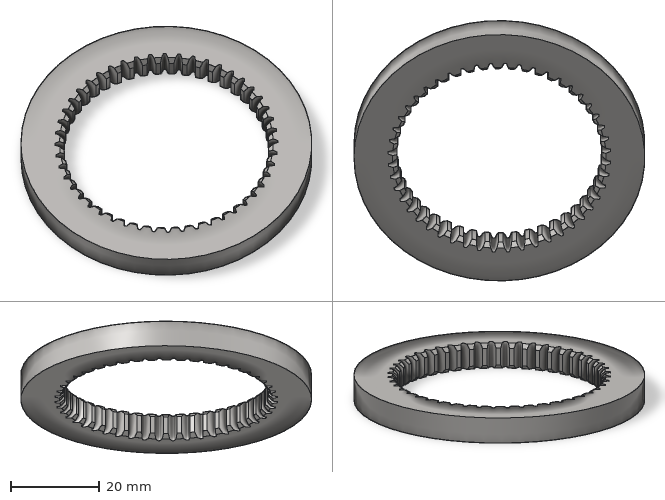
import cadquery as cq
import math


OUTER_DIAMETER = 66.0
THICKNESS = 6.0

TOOTH_COUNT = 48
PITCH_RADIUS = 24.0
PRESSURE_ANGLE = math.radians(20)
TIP_RADIUS = 23.2
ROOT_RADIUS = 25.3
ROOT_FILLET = 0.25
FLANK_POINTS = 5
CUTTER_OVERLAP = 0.3

BEVEL_RADIUS = 24.2
BEVEL_DEPTH = 1.0

BASE_RADIUS = PITCH_RADIUS * math.cos(PRESSURE_ANGLE)
CUTTER_INNER_RADIUS = TIP_RADIUS - CUTTER_OVERLAP


def involute(angle):
    return math.tan(angle) - angle


def gap_half_angle(radius):
    """Half the angle that a tooth gap spans at the given radius."""
    local_angle = math.acos(BASE_RADIUS / radius)
    at_pitch = math.pi / (2 * TOOTH_COUNT)
    return at_pitch + involute(PRESSURE_ANGLE) - involute(local_angle)


def polar_point(radius, angle):
    return (radius * math.cos(angle), radius * math.sin(angle))


def flank_points(side):
    """Points along one involute flank, from the bore outward; side is +1 or -1."""
    step = (ROOT_RADIUS - CUTTER_INNER_RADIUS) / (FLANK_POINTS - 1)
    radii = [CUTTER_INNER_RADIUS + i * step for i in range(FLANK_POINTS)]
    return [polar_point(r, side * gap_half_angle(r)) for r in radii]


def gap_cutter():
    """One tooth gap, centred on +X, with rounded root corners."""
    lower = flank_points(-1)
    upper = flank_points(1)
    return (
        cq.Workplane("XY")
        .moveTo(*lower[0])
        .spline(lower[1:], includeCurrent=True)
        .threePointArc((ROOT_RADIUS, 0), upper[-1])
        .spline(upper[-2::-1], includeCurrent=True)
        .close()
        .extrude(THICKNESS)
        .edges("|Z")
        .edges(">X")
        .fillet(ROOT_FILLET)
    )


def bevel_cutter():
    """Cone frustum that bevels the tooth ends at the lower face, Z = 0."""
    slope = (BEVEL_RADIUS - TIP_RADIUS) / BEVEL_DEPTH
    cone_height = (BEVEL_RADIUS - CUTTER_INNER_RADIUS) / slope
    return cq.Workplane(
        cq.Solid.makeCone(BEVEL_RADIUS, CUTTER_INNER_RADIUS, cone_height)
    )


ring = (
    cq.Workplane("XY")
    .circle(OUTER_DIAMETER / 2)
    .circle(TIP_RADIUS)
    .extrude(THICKNESS)
)

lower_bevel = bevel_cutter()
upper_bevel = lower_bevel.mirror("XY").translate((0, 0, THICKNESS))
ring = ring.cut(lower_bevel).cut(upper_bevel)

tooth_pitch_angle = 360 / TOOTH_COUNT
first_gap = gap_cutter().val()
gaps = [
    first_gap.rotate((0, 0, 0), (0, 0, 1), (index + 0.5) * tooth_pitch_angle)
    for index in range(TOOTH_COUNT)
]
toothed_ring = ring.val().cut(*gaps)

result = cq.Workplane(toothed_ring).translate((0, 0, -THICKNESS / 2))